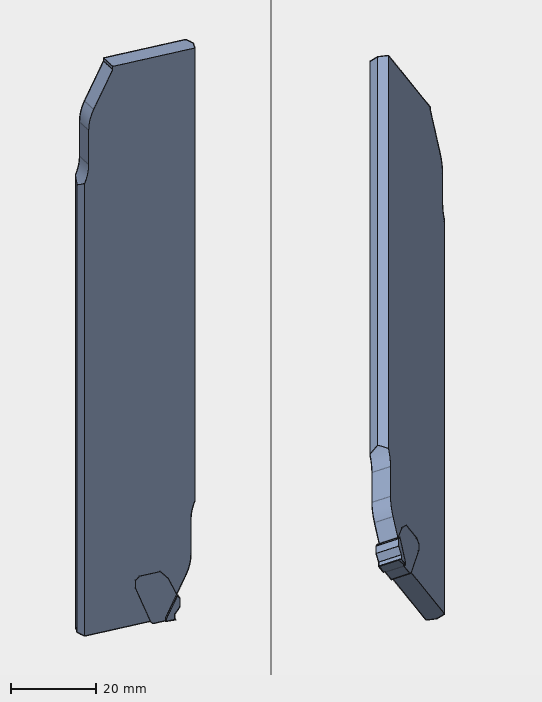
import cadquery as cq
import math

blade_top = 150.0
blade_bottom = 1.0
blade_width = 30.5
blade_thickness = 5.0
ridge_height = 0.8

relief_length = 30.6
relief_depth = 1.8
relief_radius = 11.1
relief_angle = math.radians(28)
relief_bend = 15.5
nose_setback = 8.1

head_thickness = 6.0
head_chamfer = 0.5
insert_top = 13.6
insert_bottom = 0.3

half_width = blade_width / 2
middle_z = (blade_top + blade_bottom) / 2

runout_rise = math.sqrt(relief_radius**2 - (relief_radius - relief_depth) ** 2)
bend_end = (
    relief_depth + relief_radius * (1 - math.cos(relief_angle)),
    relief_bend - relief_radius * math.sin(relief_angle),
)
bend_middle = (
    relief_depth + relief_radius * (1 - math.cos(relief_angle / 2)),
    relief_bend - relief_radius * math.sin(relief_angle / 2),
)
slope_end_distance = bend_end[1] - (nose_setback - bend_end[0]) / math.tan(relief_angle)
slope_foot = bend_end[0] + bend_end[1] * math.tan(relief_angle)


def relief_point(depth, distance):
    """Place a point of the lower relief, beside the +Y edge."""
    return half_width - depth, blade_bottom + distance


def make_relief_cutter():
    """Waste removed from the lower +Y corner, right through the thickness."""
    runout_start = relief_length - runout_rise
    runout_angle = math.asin(runout_rise / relief_radius)
    runout_middle = (
        relief_depth - relief_radius * (1 - math.cos(runout_angle / 2)),
        runout_start + relief_radius * math.sin(runout_angle / 2),
    )
    return (
        cq.Workplane("YZ")
        .moveTo(*relief_point(0, relief_length))
        .threePointArc(relief_point(*runout_middle), relief_point(relief_depth, runout_start))
        .lineTo(*relief_point(relief_depth, relief_bend))
        .threePointArc(relief_point(*bend_middle), relief_point(*bend_end))
        .lineTo(*relief_point(nose_setback, slope_end_distance))
        .lineTo(*relief_point(nose_setback, 0))
        .lineTo(*relief_point(0, 0))
        .close()
        .extrude(blade_thickness, both=True)
    )


def make_insert_outline():
    """Side outline of the whole insert, cutting head and shank together."""
    outline = [
        (5.8, 0),
        (6.3, 0.6),
        (6.3, 1.8),
        (5.0, 3.5),
        (5.0, 5.7),
        (5.7, 6.9),
        (7.8, 11.4),
        (9.9, insert_top),
        (15.3, insert_top),
        (16.4, 12.8),
        (16.4, 10.6),
        (12.5, blade_bottom),
        (11.8, insert_bottom),
        (8.7, insert_bottom),
    ]
    return cq.Workplane("YZ").polyline([(half_width - y, z) for y, z in outline]).close()


def make_insert():
    """Shank flush with the blade faces, and a wider head beyond the relief slope."""
    shank = make_insert_outline().extrude(blade_thickness / 2, both=True)
    head_zone = (
        cq.Workplane("YZ")
        .moveTo(*relief_point(slope_foot, 0))
        .lineTo(*relief_point(*bend_end))
        .lineTo(half_width, blade_bottom + bend_end[1])
        .lineTo(half_width, 0)
        .lineTo(half_width - slope_foot, 0)
        .close()
        .extrude(head_thickness / 2, both=True)
        .edges("<Z and |Y")
        .chamfer(head_chamfer)
    )
    head = make_insert_outline().extrude(head_thickness / 2, both=True).intersect(head_zone)
    return shank.union(head)


def make_blade():
    """Ridged bar, relieved at both corners and pocketed for the insert."""
    half_thickness = blade_thickness / 2
    shoulder = half_width - ridge_height
    bar = (
        cq.Workplane("XY", origin=(0, 0, blade_bottom))
        .polyline([
            (-half_thickness, -shoulder),
            (0, -half_width),
            (half_thickness, -shoulder),
            (half_thickness, shoulder),
            (0, half_width),
            (-half_thickness, shoulder),
        ])
        .close()
        .extrude(blade_top - blade_bottom)
    )
    lower_relief = make_relief_cutter()
    upper_relief = lower_relief.rotate((0, 0, middle_z), (1, 0, middle_z), 180)
    pocket = make_insert_outline().extrude(blade_thickness, both=True)
    return bar.cut(lower_relief).cut(upper_relief).cut(pocket)


blade = make_blade()
insert = make_insert()
result = cq.Compound.makeCompound([blade.val(), insert.val()])